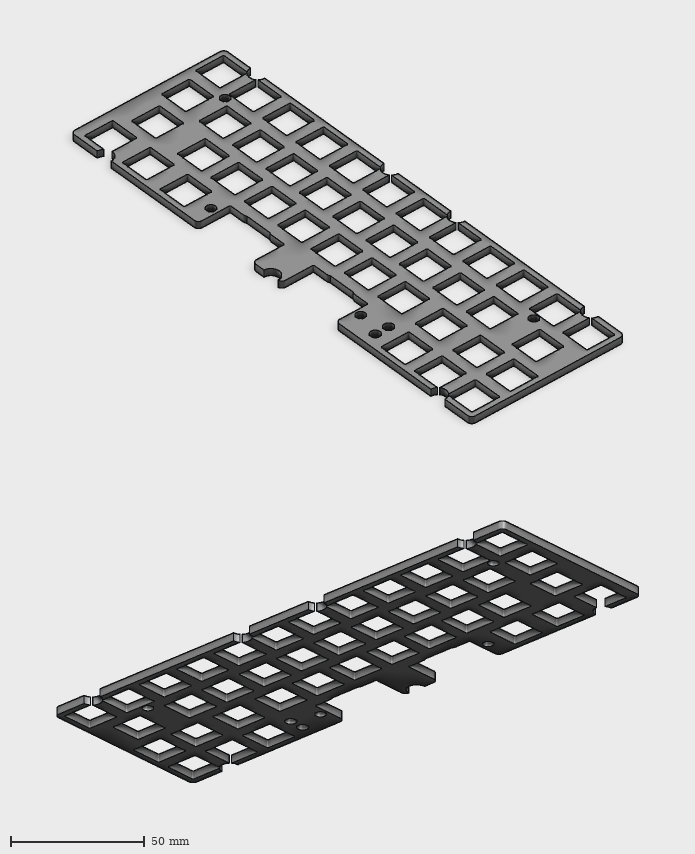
import cadquery as cq

plate_length = 228.5
columns = 12
rows = 4
key_unit = plate_length / columns
plate_width = rows * key_unit
thickness = 3.5
corner_radius = 2.0

switch_side = 14.0
opening_corner_radius = 0.5
screw_diameter = 4.3
notch_diameter = 8.0

back_row = [column + 0.5 for column in range(columns)]
second_row = [0.625] + [column + 0.75 for column in range(1, 10)] + [11.125]
third_row = [0.875] + [column + 0.25 for column in range(2, 9)] + [9.375, 10.5, 11.5]
front_row = [0.625, 1.75, 2.875, 9.5, 10.5, 11.5]
key_rows = [front_row, third_row, second_row, back_row]

back_notches = [1, 5, 7, 11]
front_notches = [1, 6, 11]

space_bar_keys = [4.625, 7.125]
space_cut_width = 31.0
space_cut_depth = 16.0
step_blend_overlap = 1.4

back_screw_x = [22.5, 198.7]
front_screw_x = [69.0, 154.5]
back_screw_y = 3 * key_unit
front_screw_y = 0.5 * key_unit

paired_hole_x = 8.75 * key_unit
paired_hole_spacing = 6.6
paired_hole_diameter = 4.5


def cutter(points):
    """Start a cutting sketch on the bottom face at the given points."""
    return cq.Workplane("XY").pushPoints(points)


def make_plate():
    plate = cq.Workplane("XY").box(plate_length, plate_width, thickness, centered=False)
    return plate.edges("|Z").fillet(corner_radius)


def space_bar_cutout():
    """Cutout centred on X = 0; its middle steps deeper where the switch sits."""
    switch_edge = switch_side / 2
    switch_back = 0.5 * key_unit + switch_edge
    blend_start = switch_edge + step_blend_overlap
    blend_end = switch_edge - opening_corner_radius
    half_width = space_cut_width / 2
    cutout = (
        cq.Workplane("XY")
        .lineTo(half_width, 0)
        .lineTo(half_width, space_cut_depth)
        .lineTo(blend_start, space_cut_depth)
        .tangentArcPoint((blend_end, switch_back), relative=False)
        .lineTo(0, switch_back)
        .mirrorY()
        .extrude(thickness)
    )
    for x in (-half_width, half_width):
        back_corner = cq.selectors.NearestToPointSelector((x, space_cut_depth, thickness / 2))
        cutout = cutout.edges("|Z").edges(back_corner).fillet(opening_corner_radius)
    return cutout


def round_cutout_mouths(plate):
    """Round the corners where the space bar cutouts meet the front edge."""
    for key in space_bar_keys:
        for side in (-1, 1):
            mouth_x = key * key_unit + side * space_cut_width / 2
            mouth_edge = cq.selectors.NearestToPointSelector((mouth_x, 0, thickness / 2))
            plate = plate.edges("|Z").edges(mouth_edge).fillet(corner_radius)
    return plate


def switch_openings():
    centers = [
        (key * key_unit, (row + 0.5) * key_unit)
        for row, keys in enumerate(key_rows)
        for key in keys
    ]
    openings = cutter(centers).rect(switch_side, switch_side).extrude(thickness)
    return openings.edges("|Z").fillet(opening_corner_radius)


def edge_notches():
    """Half-round notches along the back and front edges."""
    centers = [(unit * key_unit, plate_width) for unit in back_notches]
    centers += [(unit * key_unit, 0) for unit in front_notches]
    return cutter(centers).circle(notch_diameter / 2).extrude(thickness)


def screw_holes():
    centers = [(x, back_screw_y) for x in back_screw_x]
    centers += [(x, front_screw_y) for x in front_screw_x]
    return cutter(centers).circle(screw_diameter / 2).extrude(thickness)


def paired_holes():
    centers = [(paired_hole_x, front_screw_y + side * paired_hole_spacing / 2) for side in (-1, 1)]
    return cutter(centers).circle(paired_hole_diameter / 2).extrude(thickness)


result = make_plate()
for key in space_bar_keys:
    result = result.cut(space_bar_cutout().translate((key * key_unit, 0, 0)))
result = round_cutout_mouths(result)
for cut_shape in (switch_openings(), edge_notches(), screw_holes(), paired_holes()):
    result = result.cut(cut_shape)